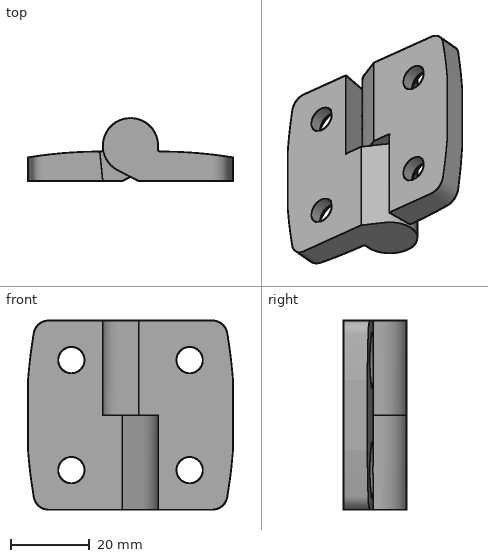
import cadquery as cq
import math

WIDTH = 52.0
HEIGHT = 48.0
DEPTH = 16.0
HALF_WIDTH = WIDTH / 2
HALF_HEIGHT = HEIGHT / 2

KNUCKLE_RADIUS = 7.0
PIVOT_Y = DEPTH - KNUCKLE_RADIUS
FRONT_EDGE_X = 2.1
BLEND_RADIUS = 0.45

CROWN_Y = 7.55
RIM_Y = 6.05
INNER_BACK_X = 7.8
INNER_FRONT_X = KNUCKLE_RADIUS

STRAIGHT_HALF_LENGTH = 8.9
CORNER_RADIUS = 3.95
CORNER_START_X = 20.65
CORNER_ANGLE = math.radians(9.5)
BOW = 0.13

HOLE_X = 15.0
HOLE_Z = 13.95
HOLE_RADIUS = 6.6 / 2
COUNTERSINK_START_Y = 3.55
COUNTERSINK_DEPTH = CROWN_Y - COUNTERSINK_START_Y
COUNTERSINK_RADIUS = HOLE_RADIUS + COUNTERSINK_DEPTH


def leaf_outline():
    """Outline of the left leaf in XZ, as a block that is thicker than the leaf."""
    center_x = -CORNER_START_X
    center_z = HALF_HEIGHT - CORNER_RADIUS

    def corner_point(angle):
        return (center_x - CORNER_RADIUS * math.cos(angle), center_z + CORNER_RADIUS * math.sin(angle))

    side_x, side_z = corner_point(CORNER_ANGLE)
    corner_mid_x, corner_mid_z = corner_point((CORNER_ANGLE + math.pi / 2) / 2)
    bow_x = (side_x - HALF_WIDTH) / 2 - BOW
    bow_z = (side_z + STRAIGHT_HALF_LENGTH) / 2
    return (
        cq.Workplane("XZ")
        .moveTo(0, HALF_HEIGHT)
        .lineTo(center_x, HALF_HEIGHT)
        .threePointArc((corner_mid_x, corner_mid_z), (side_x, side_z))
        .threePointArc((bow_x, bow_z), (-HALF_WIDTH, STRAIGHT_HALF_LENGTH))
        .lineTo(-HALF_WIDTH, -STRAIGHT_HALF_LENGTH)
        .threePointArc((bow_x, -bow_z), (side_x, -side_z))
        .threePointArc((corner_mid_x, -corner_mid_z), (center_x, -HALF_HEIGHT))
        .lineTo(0, -HALF_HEIGHT)
        .close()
        .extrude(-DEPTH)
    )


def plate():
    """Full-height plate of the left leaf, with a slanted inner edge and a crowned back."""
    run = HALF_WIDTH - INNER_BACK_X
    drop = CROWN_Y - RIM_Y
    crown_radius = (run**2 + drop**2) / (2 * drop)
    mid_drop = crown_radius - math.sqrt(crown_radius**2 - (run / 2) ** 2)
    slab = (
        cq.Workplane("XY", origin=(0, 0, -HALF_HEIGHT))
        .moveTo(-HALF_WIDTH, 0)
        .lineTo(-INNER_FRONT_X, 0)
        .lineTo(-INNER_BACK_X, CROWN_Y)
        .threePointArc((-INNER_BACK_X - run / 2, CROWN_Y - mid_drop), (-HALF_WIDTH, RIM_Y))
        .close()
        .extrude(HEIGHT)
    )
    return slab.intersect(leaf_outline())


def knuckle():
    """Lower-half barrel of the left leaf, with the web that joins it to the plate."""
    edge_distance = math.hypot(FRONT_EDGE_X, PIVOT_Y)
    tangent_angle = math.atan2(-PIVOT_Y, -FRONT_EDGE_X) + math.acos(KNUCKLE_RADIUS / edge_distance)
    tangent_x = KNUCKLE_RADIUS * math.cos(tangent_angle)
    tangent_y = PIVOT_Y + KNUCKLE_RADIUS * math.sin(tangent_angle)
    blend_end_x = -KNUCKLE_RADIUS - BLEND_RADIUS
    blend_start_y = CROWN_Y + BLEND_RADIUS
    blend_mid = BLEND_RADIUS * math.sqrt(0.5)
    return (
        cq.Workplane("XY", origin=(0, 0, -HALF_HEIGHT))
        .moveTo(-FRONT_EDGE_X, 0)
        .lineTo(tangent_x, tangent_y)
        .threePointArc((0, DEPTH), (-KNUCKLE_RADIUS, PIVOT_Y))
        .lineTo(-KNUCKLE_RADIUS, blend_start_y)
        .threePointArc((blend_end_x + blend_mid, blend_start_y - blend_mid), (blend_end_x, CROWN_Y))
        .lineTo(-INNER_BACK_X, CROWN_Y)
        .lineTo(-INNER_BACK_X, 0)
        .close()
        .extrude(HALF_HEIGHT)
    )


def screw_hole(z):
    """Cutter for one through hole with its countersink on the back of the leaf."""
    axis = cq.Vector(0, 1, 0)
    bore = cq.Solid.makeCylinder(HOLE_RADIUS, CROWN_Y, cq.Vector(-HOLE_X, 0, z), axis)
    cone_base = cq.Vector(-HOLE_X, COUNTERSINK_START_Y, z)
    cone = cq.Solid.makeCone(HOLE_RADIUS, COUNTERSINK_RADIUS, COUNTERSINK_DEPTH, cone_base, axis)
    return bore.fuse(cone)


def hinge_leaf(turn):
    """One leaf, turned about the Y axis by the given angle in degrees."""
    leaf = plate().union(knuckle())
    for z in (-HOLE_Z, HOLE_Z):
        leaf = leaf.cut(cq.Workplane(screw_hole(z)))
    return leaf.rotate((0, 0, 0), (0, 1, 0), turn)


leaves = [hinge_leaf(turn) for turn in (0, 180)]

result = cq.Compound.makeCompound([leaf.solids().val() for leaf in leaves])